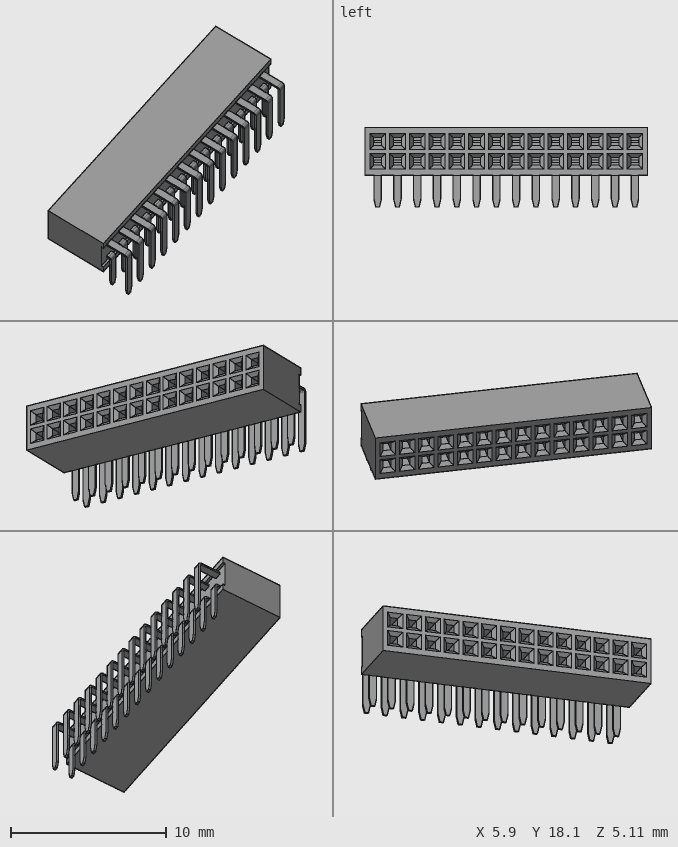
import cadquery as cq
import math


COLUMNS = 14
PITCH = 1.27

HOUSING_DEPTH = 4.4
HOUSING_LENGTH = 18.13
HOUSING_HEIGHT = 3.08
LIP_HEIGHT = 0.5
RECESS_DEPTH = 0.16

MOUTH_SIZE = 1.02
BORE_SIZE = 0.5
FUNNEL_TAPER = 45.0
FUNNEL_DEPTH = (MOUTH_SIZE - BORE_SIZE) / 2 / math.tan(math.radians(FUNNEL_TAPER))
SOCKET_DEPTH = 3.0

PIN_WIDTH = 0.49
PIN_THICKNESS = 0.15
PIN_TIP_WIDTH = 0.25
PIN_TAPER_LENGTH = 0.5
BEND_RADIUS = 0.22
PIN_STUB = 0.5
OVERALL_DEPTH = 5.9
OVERALL_HEIGHT = 5.11

PIN_BOTTOM = HOUSING_HEIGHT - OVERALL_HEIGHT
PIN_START = SOCKET_DEPTH - PIN_STUB
COLUMN_Y = [(i - (COLUMNS - 1) / 2) * PITCH for i in range(COLUMNS)]
UPPER_ROW_Z = HOUSING_HEIGHT / 2 + PITCH / 2
LOWER_ROW_Z = UPPER_ROW_Z - PITCH
ROWS = [(UPPER_ROW_Z, OVERALL_DEPTH), (LOWER_ROW_Z, OVERALL_DEPTH - PITCH)]


def make_housing():
    """Plain block with a full-length recess across the rear face."""
    block = cq.Workplane("XY").box(
        HOUSING_DEPTH, HOUSING_LENGTH, HOUSING_HEIGHT, centered=(False, True, False)
    )
    recess = cq.Workplane("XY").box(
        RECESS_DEPTH, HOUSING_LENGTH, HOUSING_HEIGHT - 2 * LIP_HEIGHT, centered=(False, True, False)
    )
    return block.cut(recess.translate((HOUSING_DEPTH - RECESS_DEPTH, 0, LIP_HEIGHT)))


def make_socket(y, z):
    """Square funnel followed by a blind square bore."""
    mouth = cq.Workplane("YZ").center(y, z)
    funnel = mouth.rect(MOUTH_SIZE, MOUTH_SIZE).extrude(FUNNEL_DEPTH, taper=FUNNEL_TAPER)
    bore = mouth.rect(BORE_SIZE, BORE_SIZE).extrude(SOCKET_DEPTH)
    return funnel.union(bore)


def make_pin(y, z, rear_x):
    """Flat pin running back along X, bent down to a tail with a tapered tip."""
    top = z + PIN_THICKNESS / 2
    strip = (
        cq.Workplane("XZ", origin=(0, y, 0))
        .moveTo(PIN_START, top)
        .lineTo(rear_x - BEND_RADIUS, top)
        .radiusArc((rear_x, top - BEND_RADIUS), BEND_RADIUS)
        .lineTo(rear_x, PIN_BOTTOM)
        .lineTo(rear_x - PIN_THICKNESS, PIN_BOTTOM)
        .lineTo(rear_x - PIN_THICKNESS, top - BEND_RADIUS)
        .radiusArc((rear_x - BEND_RADIUS, top - PIN_THICKNESS), PIN_THICKNESS - BEND_RADIUS)
        .lineTo(PIN_START, top - PIN_THICKNESS)
        .close()
        .extrude(PIN_WIDTH / 2, both=True)
    )
    taper_top = PIN_BOTTOM + PIN_TAPER_LENGTH
    silhouette = (
        cq.Workplane("YZ", origin=(0, y, 0))
        .polyline([
            (-PIN_WIDTH / 2, top),
            (-PIN_WIDTH / 2, taper_top),
            (-PIN_TIP_WIDTH / 2, PIN_BOTTOM),
            (PIN_TIP_WIDTH / 2, PIN_BOTTOM),
            (PIN_WIDTH / 2, taper_top),
            (PIN_WIDTH / 2, top),
        ])
        .close()
        .extrude(OVERALL_DEPTH)
    )
    return strip.intersect(silhouette)


sockets = cq.Workplane("XY")
pins = cq.Workplane("XY")
for row_z, tail_x in ROWS:
    for column_y in COLUMN_Y:
        sockets.add(make_socket(column_y, row_z))
        pins.add(make_pin(column_y, row_z, tail_x))

housing = make_housing().cut(cq.Workplane(cq.Compound.makeCompound(sockets.vals())))
result = housing.union(cq.Workplane(cq.Compound.makeCompound(pins.vals())))